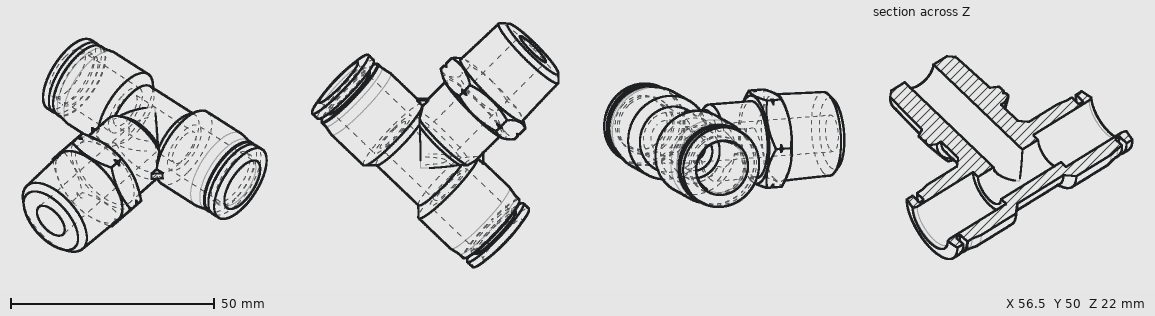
import cadquery as cq
import math


waist_radius = 8.25
socket_radius = 10.5
shoulder_end = 9.5
shoulder_start = shoulder_end - (socket_radius - waist_radius)
nose_taper_start = 20.5
nose_taper_end = 23.0
nose_radius = 10.0
nose_chamfer = 0.15
socket_end = 24.5

run_half_length = 28.25
neck_radius = 7.25
collar_radius = 10.0
collar_start = 25.75
collar_cone_start = 27.65

bore_radius = 4.5
tube_radius = 6.45
tube_stop = shoulder_end
mouth_radius = 6.85
lip_radius = 6.7
lip_depth = 0.25
lead_in_depth = 1.1

branch_radius = 9.5
branch_shoulder_end = 8.0
branch_shoulder_start = branch_shoulder_end - (branch_radius - waist_radius)
branch_length = 39.5

hex_flats = 22.0
hex_start = 19.0
hex_end = 25.0
hex_face_radius = 10.85
hex_chamfer_angle = 30.0
hex_corner_radius = hex_flats / math.sqrt(3)
groove_bottom_radius = 12.2
groove_half_width = 0.3
groove_offset = 2.55

thread_root_radius = 10.78
thread_taper = 1 / 16
thread_chamfer_start = 38.0
thread_tip_radius = 8.8
thread_end_radius = thread_root_radius - (thread_chamfer_start - hex_end) * thread_taper / 2

web_thickness = 2.0
web_reach = 21.9


def revolve_about_run(points):
    """Revolve (distance along X, radius) points about the X axis."""
    return cq.Workplane("XY").polyline(points).close().revolve(360, (0, 0), (1, 0))


def revolve_about_branch(points):
    """Revolve (distance along -Y, radius) points about the Y axis."""
    profile = [(radius, -distance) for distance, radius in points]
    return cq.Workplane("XY").polyline(profile).close().revolve(360, (0, 0), (0, 1))


def both_ends(half):
    return half.union(half.mirror("YZ"))


def make_run():
    half = revolve_about_run([
        (0, 0),
        (0, waist_radius),
        (shoulder_start, waist_radius),
        (shoulder_end, socket_radius),
        (nose_taper_start, socket_radius),
        (nose_taper_end, nose_radius),
        (socket_end - nose_chamfer, nose_radius),
        (socket_end, nose_radius - nose_chamfer),
        (socket_end, neck_radius),
        (collar_start, neck_radius),
        (collar_start, collar_radius),
        (collar_cone_start, collar_radius),
        (run_half_length, mouth_radius),
        (run_half_length, 0),
    ])
    return both_ends(half)


def make_branch():
    return revolve_about_branch([
        (0, 0),
        (0, waist_radius),
        (branch_shoulder_start, waist_radius),
        (branch_shoulder_end, branch_radius),
        (hex_end, branch_radius),
        (hex_end, thread_root_radius),
        (thread_chamfer_start, thread_end_radius),
        (branch_length, thread_tip_radius),
        (branch_length, 0),
    ])


def make_hexagon():
    """Hexagon with two flats square to Z, chamfered corners and a V groove across the corners."""
    prism = (
        cq.Workplane("XZ", origin=(0, -hex_start, 0))
        .polygon(6, 2 * hex_corner_radius)
        .extrude(hex_end - hex_start)
    )
    chamfer_depth = (hex_corner_radius - hex_face_radius) * math.tan(math.radians(hex_chamfer_angle))
    groove = hex_start + groove_offset
    envelope = revolve_about_branch([
        (hex_start, 0),
        (hex_start, hex_face_radius),
        (hex_start + chamfer_depth, hex_corner_radius),
        (groove - groove_half_width, hex_corner_radius),
        (groove, groove_bottom_radius),
        (groove + groove_half_width, hex_corner_radius),
        (hex_end - chamfer_depth, hex_corner_radius),
        (hex_end, hex_face_radius),
        (hex_end, 0),
    ])
    return prism.intersect(envelope)


def make_webs():
    """One triangular plate whose two sloping edges show as webs in the inside corners."""
    return (
        cq.Workplane("XY")
        .polyline([(-web_reach, 0), (0, -web_reach), (web_reach, 0)])
        .close()
        .extrude(web_thickness / 2, both=True)
    )


def make_run_bore():
    half = revolve_about_run([
        (0, 0),
        (0, bore_radius),
        (tube_stop, bore_radius),
        (tube_stop, tube_radius),
        (run_half_length - lead_in_depth, tube_radius),
        (run_half_length - lip_depth, lip_radius),
        (run_half_length, mouth_radius),
        (run_half_length, 0),
    ])
    return both_ends(half)


def make_branch_bore():
    return cq.Workplane("XZ").circle(bore_radius).extrude(branch_length)


body = make_run().union(make_branch()).union(make_hexagon()).union(make_webs())
result = body.cut(make_run_bore()).cut(make_branch_bore())